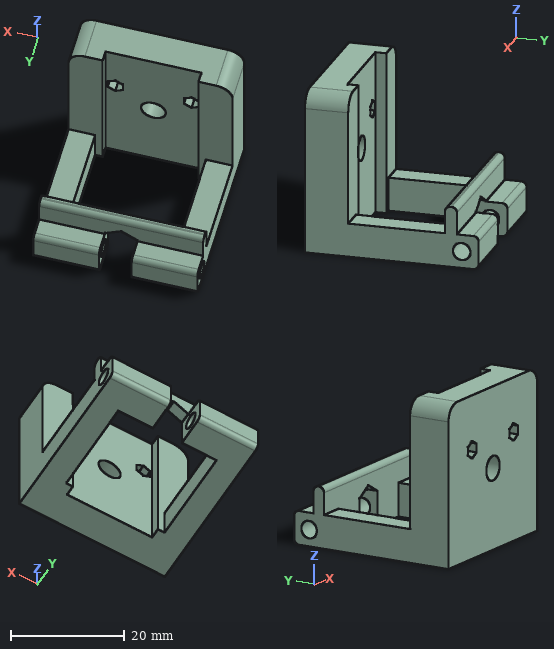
import cadquery as cq
import math

width = 30.0
length = 32.0
height = 30.0

plate_thickness = 8.0
plate_corner_radius = 3.0
recess_width = 17.5
recess_depth = 2.0
shaft_hole_diameter = 4.5
screw_hole_diameter = 3.2
screw_spacing = 13.95
screw_height = 20.03

base_height = 6.25
side_rail_width = 4.9
edge_radius = 1.0
pin_hole_diameter = 3.2

fin_thickness = 2.2
fin_rise = 5.05
fin_setback = 4.0
notch_width = 5.95
notch_wall_height = 6.43
notch_roof_angle = 30.0

fin_rear = length - fin_setback
fin_front = fin_rear - fin_thickness
window_width = width - 2 * side_rail_width
fin_top = base_height + fin_rise
notch_peak = notch_wall_height + notch_width / 2 * math.tan(math.radians(notch_roof_angle))


def block(size_x, y_start, y_end, z_top):
    """Box centred on X, standing on the bottom plane."""
    return (
        cq.Workplane("XY")
        .box(size_x, y_end - y_start, z_top, centered=(True, False, False))
        .translate((0, y_start, 0))
    )


def make_plate():
    plate = block(width, 0, plate_thickness, height)
    return plate.edges("|Y and >Z").fillet(plate_corner_radius)


def make_recess():
    """Full-height recess in the rear face of the plate."""
    return block(recess_width, plate_thickness - recess_depth, plate_thickness, height)


def make_frame():
    base = block(width, 0, length, base_height).edges("|X and >Y").fillet(edge_radius)
    window = block(window_width, plate_thickness, fin_front, base_height)
    return base.cut(window)


def make_fin():
    fin = block(width, fin_front, fin_rear, fin_top)
    return fin.edges("|X and >Z").fillet(edge_radius)


def make_notch():
    """Open-bottomed notch with a peaked roof, cut from the window to the rear."""
    half_width = notch_width / 2
    return (
        cq.Workplane("XZ", origin=(0, fin_front, 0))
        .moveTo(-half_width, 0)
        .lineTo(-half_width, notch_wall_height)
        .lineTo(0, notch_peak)
        .lineTo(half_width, notch_wall_height)
        .lineTo(half_width, 0)
        .close()
        .extrude(-(length - fin_front))
    )


def make_plate_holes():
    holes = (
        cq.Workplane("XZ", origin=(0, 0, height / 2))
        .circle(shaft_hole_diameter / 2)
        .extrude(-plate_thickness)
    )
    for side in (-1, 1):
        screw_hole = (
            cq.Workplane("XZ")
            .polygon(6, screw_hole_diameter)
            .extrude(-plate_thickness)
            .rotate((0, 0, 0), (0, 1, 0), 90)
            .translate((side * screw_spacing / 2, 0, screw_height))
        )
        holes = holes.union(screw_hole)
    return holes


def make_pin_hole():
    """Hinge pin bore along X, equally far from the top, bottom and rear of the bar."""
    edge_distance = base_height / 2
    return (
        cq.Workplane("YZ", origin=(-width / 2, length - edge_distance, edge_distance))
        .circle(pin_hole_diameter / 2)
        .extrude(width)
    )


result = make_plate().union(make_frame()).union(make_fin())
for cutter in (make_recess(), make_notch(), make_plate_holes(), make_pin_hole()):
    result = result.cut(cutter)